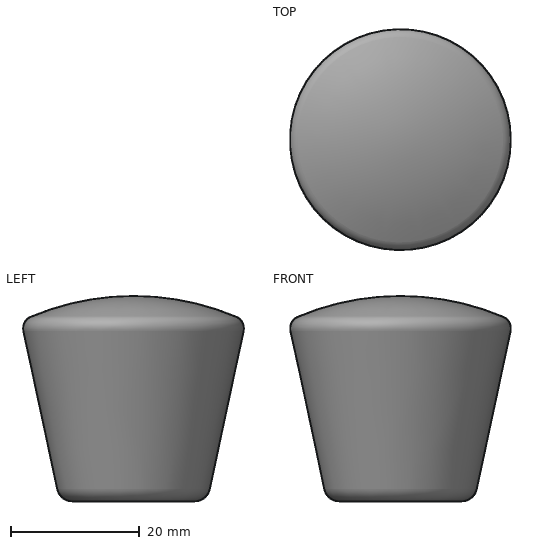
import cadquery as cq
import math

height = 32.0
outer_radius = 17.2
dome_radius = 40.95
rim_round = 2.0
base_round = 2.5
taper = math.radians(12.1)


def point_on_round(center, radius, angle):
    """Point at the given angle above the radial direction."""
    return (
        center[0] + radius * math.cos(angle),
        center[1] + radius * math.sin(angle),
    )


dome_center_height = height - dome_radius
rim_center_radius = outer_radius - rim_round
rim_rise = math.sqrt((dome_radius - rim_round) ** 2 - rim_center_radius**2)
rim_center = (rim_center_radius, dome_center_height + rim_rise)
dome_edge_angle = math.atan2(rim_rise, rim_center_radius)

center_rise = rim_center[1] - base_round
round_difference = base_round - rim_round
base_center_radius = (
    rim_center_radius - center_rise * math.tan(taper) - round_difference / math.cos(taper)
)
base_center = (base_center_radius, base_round)
base_middle_angle = (-math.pi / 2 - taper) / 2

dome_middle_angle = (math.pi / 2 + dome_edge_angle) / 2
rim_middle_angle = (dome_edge_angle - taper) / 2

profile = (
    cq.Workplane("XZ")
    .moveTo(0, 0)
    .lineTo(base_center[0], 0)
    .threePointArc(
        point_on_round(base_center, base_round, base_middle_angle),
        point_on_round(base_center, base_round, -taper),
    )
    .lineTo(*point_on_round(rim_center, rim_round, -taper))
    .threePointArc(
        point_on_round(rim_center, rim_round, rim_middle_angle),
        point_on_round(rim_center, rim_round, dome_edge_angle),
    )
    .threePointArc(
        point_on_round((0, dome_center_height), dome_radius, dome_middle_angle),
        (0, height),
    )
    .close()
)

result = profile.revolve(360, (0, 0, 0), (0, 1, 0))